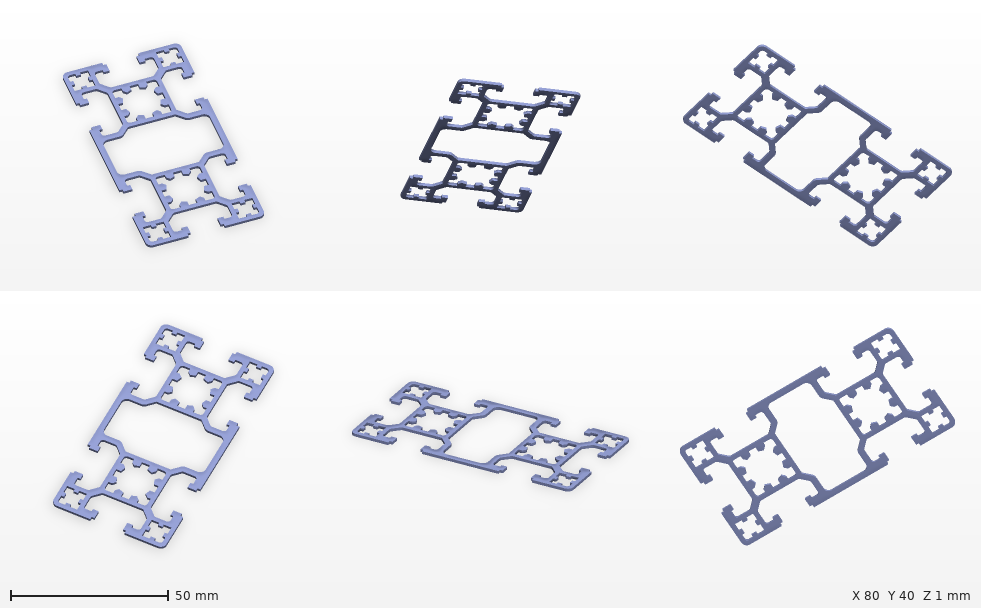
import cadquery as cq
import math

MODULE = 40.0
LENGTH = 2 * MODULE
WIDTH = MODULE
THICKNESS = 1.0
CORNER_RADIUS = 2.0

SLOT_RECESS_HALF = 6.1
SLOT_RECESS_DEPTH = 1.0
SLOT_MOUTH_HALF = 5.1
LIP_INNER_HALF = 7.1
LIP_DEPTH = 4.0
SLOT_CEILING_DEPTH = 3.0
SLOT_CHAMBER_HALF = 10.0
SLOT_DEPTH = 11.0
SLOT_TAPER = 2.77
SLOT_CORNER_RADIUS = 1.0
SLOT_BEND_RADIUS = 1.0

CORE_WALL = 1.5
CORE_HALF = MODULE / 2 - SLOT_DEPTH - CORE_WALL
CORE_CORNER_RADIUS = 1.0
TOOTH_HEIGHT = 2.3
TOOTH_INNER_HEIGHT = 1.65
TOOTH_INNER = 1.4
TOOTH_TIP = 3.15
TOOTH_OUTER = 4.2

CORNER_WALL = 1.5
CORNER_CAVITY = SLOT_CHAMBER_HALF - 2 * CORNER_WALL
CORNER_CAVITY_RADIUS = 1.0
RIB_WIDTH = 1.6
RIB_HEIGHT = 1.0

MIDDLE_HALF_WIDTH = 8.0
MIDDLE_WALL = 2.0
MIDDLE_WAIST_HALF = MODULE / 2 - CORE_HALF - CORE_WALL
MIDDLE_BEND_DEPTH = 9.0
MIDDLE_CORNER_RADIUS = 2.0
MIDDLE_BEND_RADIUS = 2.0

QUARTER_TURNS = (0, 90, 180, 270)
MODULE_CENTRES = (-MODULE / 2, MODULE / 2)


def prism(points):
    return cq.Workplane("XY").polyline(points).close().extrude(THICKNESS)


def square(side):
    return cq.Workplane("XY").rect(side, side).extrude(THICKNESS)


def round_edges(body, points, radius):
    """Fillet the upright edges that pass through the given points."""
    for x, y in points:
        edge = cq.selectors.NearestToPointSelector((x, y, THICKNESS / 2))
        body = body.edges("|Z").edges(edge).fillet(radius)
    return body


def slot_cutter():
    """T-slot opening toward +Y, with its mouth on the X axis."""
    right = [
        (SLOT_RECESS_HALF, 0),
        (SLOT_RECESS_HALF, -SLOT_RECESS_DEPTH),
        (SLOT_MOUTH_HALF, -SLOT_RECESS_DEPTH),
        (SLOT_MOUTH_HALF, -LIP_DEPTH),
        (LIP_INNER_HALF, -LIP_DEPTH),
        (LIP_INNER_HALF, -SLOT_CEILING_DEPTH),
        (SLOT_CHAMBER_HALF, -SLOT_CEILING_DEPTH),
        (SLOT_CHAMBER_HALF, SLOT_TAPER - SLOT_DEPTH),
        (SLOT_CHAMBER_HALF - SLOT_TAPER, -SLOT_DEPTH),
    ]
    left = [(-x, y) for x, y in reversed(right)]
    cutter = prism(right + left)
    for side in (-1, 1):
        ceiling = (side * SLOT_CHAMBER_HALF, -SLOT_CEILING_DEPTH)
        bend = (side * SLOT_CHAMBER_HALF, SLOT_TAPER - SLOT_DEPTH)
        floor = (side * (SLOT_CHAMBER_HALF - SLOT_TAPER), -SLOT_DEPTH)
        cutter = round_edges(cutter, [ceiling], SLOT_CORNER_RADIUS)
        cutter = round_edges(cutter, [bend, floor], SLOT_BEND_RADIUS)
    return cutter


def core_tooth(side):
    """Pointed tooth on the +Y wall of a core cavity, bevelled at 45 degrees on its outer flank."""
    tip_level = CORE_HALF - TOOTH_HEIGHT
    profile = [
        (TOOTH_INNER, CORE_HALF),
        (TOOTH_INNER, CORE_HALF - TOOTH_INNER_HEIGHT),
        (TOOTH_TIP, tip_level),
        (TOOTH_OUTER, tip_level + TOOTH_OUTER - TOOTH_TIP),
        (TOOTH_OUTER, CORE_HALF),
    ]
    return prism([(side * x, y) for x, y in profile])


def core_cutter():
    """Core cavity with a mirrored pair of teeth left standing on each wall."""
    cutter = square(2 * CORE_HALF).edges("|Z").fillet(CORE_CORNER_RADIUS)
    for turn in QUARTER_TURNS:
        for side in (-1, 1):
            cutter = cutter.cut(core_tooth(side).rotate((0, 0, 0), (0, 0, 1), turn))
    return cutter


def corner_cutter():
    """Corner cavity whose rounded corner points toward +X +Y."""
    half = CORNER_CAVITY / 2
    cutter = round_edges(square(CORNER_CAVITY), [(half, half)], CORNER_CAVITY_RADIUS)
    rib = cq.Workplane("XY").center(0, half - RIB_HEIGHT / 2).rect(RIB_WIDTH, RIB_HEIGHT).extrude(THICKNESS)
    for turn in QUARTER_TURNS:
        cutter = cutter.cut(rib.rotate((0, 0, 0), (0, 0, 1), turn))
    return cutter


def middle_cutter():
    """Tall cavity between the modules, wider at its waist."""
    half_height = WIDTH / 2 - MIDDLE_WALL
    bend = WIDTH / 2 - MIDDLE_BEND_DEPTH
    waist = bend - (MIDDLE_WAIST_HALF - MIDDLE_HALF_WIDTH)
    quarter = [(MIDDLE_HALF_WIDTH, half_height), (MIDDLE_HALF_WIDTH, bend), (MIDDLE_WAIST_HALF, waist)]
    right = quarter + [(x, -y) for x, y in reversed(quarter)]
    left = [(-x, -y) for x, y in right]
    cutter = prism(right + left)
    for sx in (-1, 1):
        for sy in (-1, 1):
            cutter = round_edges(cutter, [(sx * MIDDLE_HALF_WIDTH, sy * half_height)], MIDDLE_CORNER_RADIUS)
            cutter = round_edges(cutter, [(sx * MIDDLE_HALF_WIDTH, sy * bend)], MIDDLE_BEND_RADIUS)
    return cutter


def build_profile():
    body = cq.Workplane("XY").rect(LENGTH, WIDTH).extrude(THICKNESS)
    body = body.edges("|Z").fillet(CORNER_RADIUS)

    slot = slot_cutter().translate((0, MODULE / 2, 0))
    for centre in MODULE_CENTRES:
        outward = -math.copysign(90, centre)
        for turn in (0, 180, outward):
            body = body.cut(slot.rotate((0, 0, 0), (0, 0, 1), turn).translate((centre, 0, 0)))
        body = body.cut(core_cutter().translate((centre, 0, 0)))

    inset = CORNER_WALL + CORNER_CAVITY / 2
    corner = corner_cutter().translate((LENGTH / 2 - inset, WIDTH / 2 - inset, 0))
    for cavity in (corner, corner.mirror("YZ")):
        body = body.cut(cavity).cut(cavity.mirror("XZ"))

    return body.cut(middle_cutter())


result = build_profile()